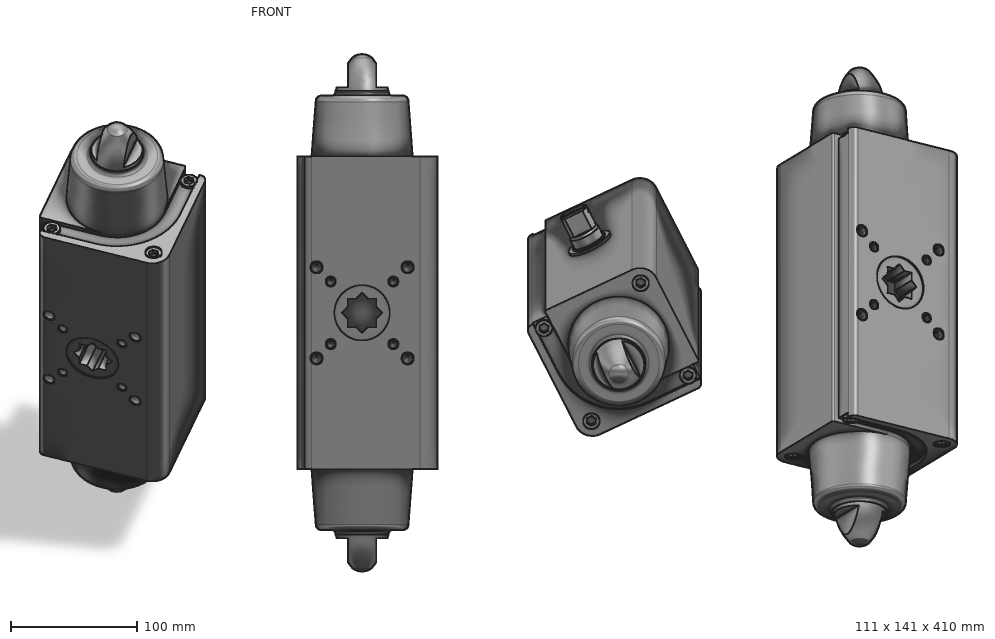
import cadquery as cq
import math


near_side = 51.0
far_side = 60.0
step = 40.0
notch_end = 45.5
big_round = 14.5
small_round = 5.5
shoulder_round = 1.5
body_half_length = 123.5

ledge_edge = 53.2
ledge_depth = 3.5

cap_base_radius = step
cap_rim_radius = 37.0
cap_rim_round = 5.0
cap_top = 172.0
tip_top = 205.0

collar_radius = 21.5
collar_fillet = 2.5
collar_top = 175.7
bullet_base_radius = 21.0
bullet_mid_radius = 16.0
bullet_mid_height = 189.2
nose_radius = 7.8
nose_base = 202.0
tip_thickness = 22.5
tip_flat_base = 178.5

screw_head_diameter = 13.0
screw_recess = 1.2
screw_near = 38.0
screw_far = 47.0
screw_places = [
    (-screw_near, screw_near),
    (screw_far, screw_near),
    (-screw_near, -screw_far),
    (screw_far, -screw_far),
]
screw_head_top = body_half_length - screw_recess
hex_corners = 8.0
hex_depth = 4.0

outer_mount = (102.0, 8.5, 10.0)
inner_mount = (70.0, 6.5, 8.0)
mount_hole_depth = 14.5
drill_point_angle = 118

drive_diameter = 44.0
drive_recess = 1.2
drive_face = -far_side + drive_recess
drive_end = 0.0
disc_diameter = 36.0
disc_end = 53.2
neck_diameter = 28.3
neck_end = 54.0
journal_diameter = 25.0
journal_end = 62.0
stem_diameter = 23.0
flats_start = 64.5
stem_end = 81.0
stem_across_flats = 16.8
slot_width = 4.0
slot_depth = 5.0
socket_square = 22.5
socket_depth = 24.5


def body_block():
    """Extruded housing with two notched, two rounded corners."""
    outline = [
        (-near_side, near_side),
        (step, near_side),
        (step, notch_end),
        (far_side, notch_end),
        (far_side, -far_side),
        (-notch_end, -far_side),
        (-notch_end, -step),
        (-near_side, -step),
    ]
    block = (
        cq.Workplane("XY").workplane(offset=-body_half_length)
        .polyline(outline).close().extrude(2 * body_half_length)
    )

    def round_corners(solid, corners, radius):
        for x, y in corners:
            edge = cq.selectors.NearestToPointSelector((x, y, 0))
            solid = solid.edges("|Z").edges(edge).fillet(radius)
        return solid

    block = round_corners(block, [outline[0], outline[4]], big_round)
    block = round_corners(block, [outline[3], outline[5]], small_round)
    return round_corners(block, [outline[1], outline[7]], shoulder_round)


def end_ledge():
    """Cutter for the sunken ledge in the upper end face."""
    reach = 2 * far_side

    def rounded_quadrant(edge):
        return (
            cq.Workplane("XY").workplane(offset=body_half_length - ledge_depth)
            .center(edge - reach / 2, reach / 2 - edge)
            .rect(reach, reach).extrude(ledge_depth)
            .edges("|Z and >X and <Y").fillet(edge)
        )

    return rounded_quadrant(ledge_edge).cut(rounded_quadrant(step))


def end_cap():
    """Tapered cap and bullet-shaped tip at the upper end."""
    root = body_half_length - ledge_depth
    diagonal = math.sqrt(0.5)
    rim_inner = cap_rim_radius - cap_rim_round
    rim_base = cap_top - cap_rim_round
    nose_height = tip_top - nose_base
    fillet_outer = collar_radius + collar_fillet
    fillet_top = cap_top + collar_fillet
    nose_sphere = (nose_radius**2 + nose_height**2) / (2 * nose_height)
    nose_mid_x = nose_radius / 2
    nose_mid_z = tip_top - nose_sphere + math.sqrt(nose_sphere**2 - nose_mid_x**2)
    cap = (
        cq.Workplane("XZ")
        .moveTo(0, root)
        .lineTo(cap_base_radius, root)
        .lineTo(cap_base_radius, body_half_length)
        .lineTo(cap_rim_radius, rim_base)
        .threePointArc(
            (rim_inner + cap_rim_round * diagonal, rim_base + cap_rim_round * diagonal),
            (rim_inner, cap_top),
        )
        .lineTo(fillet_outer, cap_top)
        .threePointArc(
            (fillet_outer - collar_fillet * diagonal, fillet_top - collar_fillet * diagonal),
            (collar_radius, fillet_top),
        )
        .lineTo(collar_radius, collar_top)
        .lineTo(bullet_base_radius, collar_top)
        .threePointArc((bullet_mid_radius, bullet_mid_height), (nose_radius, nose_base))
        .threePointArc((nose_mid_x, nose_mid_z), (0, tip_top))
        .close()
        .revolve(360, (0, 0, 0), (0, 1, 0))
    )
    flat_height = tip_top - tip_flat_base
    for side in (-1, 1):
        beside_tip = (
            cq.Workplane("XY").workplane(offset=tip_flat_base)
            .center(side * (tip_thickness / 2 + collar_radius), 0)
            .rect(2 * collar_radius, 2 * collar_radius).extrude(flat_height)
        )
        cap = cap.cut(beside_tip)
    return cap


def upper_screw_cylinders(bottom, top):
    """One upright cylinder at each of the four cap screws."""
    return (
        cq.Workplane("XY").workplane(offset=bottom)
        .pushPoints(screw_places).circle(screw_head_diameter / 2).extrude(top - bottom)
    )


def upper_screw_heads():
    """Screw heads, standing proud where they sit on the ledge."""
    return upper_screw_cylinders(body_half_length - ledge_depth, screw_head_top)


def upper_screw_recesses():
    """Cutters for the space above the screw heads and for their hex sockets."""
    recesses = upper_screw_cylinders(screw_head_top, body_half_length)
    sockets = (
        cq.Workplane("XY").workplane(offset=screw_head_top - hex_depth)
        .pushPoints(screw_places).polygon(6, hex_corners).extrude(hex_depth)
    )
    return recesses.union(sockets)


def mirrored_pair(upper):
    """The upper-end shape together with its mirror image at the lower end."""
    return [upper, upper.mirror("XY")]


def mount_hole_cutter(drill_diameter, mouth_diameter):
    """Drilled hole with a 45-degree mouth and a conical bottom, running in +Y from the origin."""
    radius = drill_diameter / 2
    mouth = mouth_diameter / 2
    point = radius / math.tan(math.radians(drill_point_angle / 2))
    return (
        cq.Workplane("XY")
        .polyline([
            (0, 0),
            (mouth, 0),
            (radius, mouth - radius),
            (radius, mount_hole_depth),
            (0, mount_hole_depth + point),
        ])
        .close()
        .revolve(360, (0, 0, 0), (0, 1, 0))
    )


def cylinder_along_y(diameter, start, end):
    return (
        cq.Workplane("XZ").workplane(offset=-start)
        .circle(diameter / 2).extrude(start - end)
    )


def stepped_trunk(start):
    """Large end from `start`, and the smaller disc that reaches out of the +Y face."""
    drive = cylinder_along_y(drive_diameter, start, drive_end)
    return drive.union(cylinder_along_y(disc_diameter, drive_end, disc_end))


def make_housing():
    housing = body_block()
    for ledge in mirrored_pair(end_ledge()):
        housing = housing.cut(ledge)
    for cap in mirrored_pair(end_cap()):
        housing = housing.union(cap)
    for heads in mirrored_pair(upper_screw_heads()):
        housing = housing.union(heads)
    for recesses in mirrored_pair(upper_screw_recesses()):
        housing = housing.cut(recesses)
    for pitch_circle, drill_diameter, mouth_diameter in (outer_mount, inner_mount):
        offset = pitch_circle / 2 * math.sqrt(0.5)
        hole = mount_hole_cutter(drill_diameter, mouth_diameter)
        for x in (-offset, offset):
            for z in (-offset, offset):
                housing = housing.cut(hole.translate((x, -far_side, z)))
    return housing.cut(stepped_trunk(-far_side))


def make_shaft():
    shaft = stepped_trunk(drive_face)
    for diameter, start, end in [
        (neck_diameter, disc_end, neck_end),
        (journal_diameter, neck_end, journal_end),
        (stem_diameter, journal_end, stem_end),
    ]:
        shaft = shaft.union(cylinder_along_y(diameter, start, end))

    shoulder = (
        cq.Workplane("XZ").workplane(offset=-journal_end).circle(journal_diameter / 2)
        .workplane(offset=journal_end - flats_start).circle(stem_diameter / 2).loft()
    )
    shaft = shaft.union(shoulder)

    flat_length = stem_end - flats_start
    for side in (-1, 1):
        beside_stem = cq.Workplane("XY").box(stem_diameter, flat_length, stem_diameter).translate(
            (0, flats_start + flat_length / 2, side * (stem_across_flats + stem_diameter) / 2)
        )
        shaft = shaft.cut(beside_stem)

    slot = cq.Workplane("XY").box(stem_diameter, slot_depth, slot_width).translate(
        (0, stem_end - slot_depth / 2, 0)
    )
    shaft = shaft.cut(slot)

    for angle in (0, 45):
        square = (
            cq.Workplane("XY").box(socket_square, socket_depth, socket_square)
            .rotate((0, 0, 0), (0, 1, 0), angle)
            .translate((0, drive_face + socket_depth / 2, 0))
        )
        shaft = shaft.cut(square)
    return shaft


housing = make_housing()
shaft = make_shaft()
result = cq.Compound.makeCompound([housing.val(), shaft.val()])